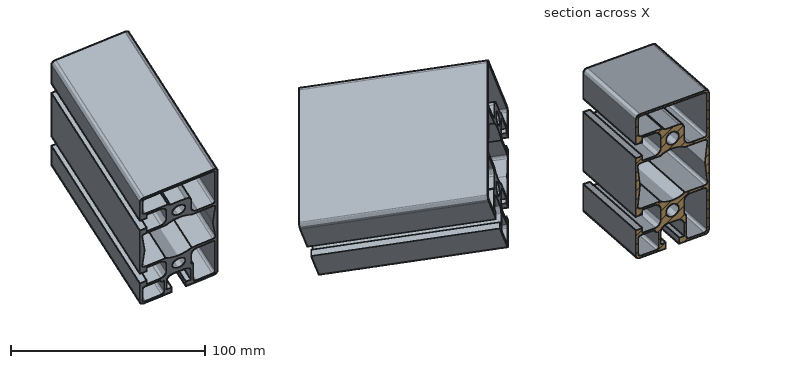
import cadquery as cq
import math

length = 100.0
width = 45.0
height = 90.0
corner_radius = 2.5

wall = 1.6
inner_radius = 1.5
half_width = width / 2
half_height = height / 2
inner_half_width = half_width - wall
inner_half_height = half_height - wall

core_z = height / 4
core_half = 7.3
core_radius = 3.5
slot_half = 7.0
slot_opening = 8.2
slot_corner = 3.2
slot_corner_bulge = 0.7
lip_thickness = 4.0
web_half = slot_half + 1.5
closed_web_half = 6.5
bore_diameter = 7.5

root_start = 4.9
root_end = 6.3
gusset_reach = 10.8
gusset_middle = 10.0

chamber_half_height = core_z - web_half
chamber_half_width = 21.3
chamber_waist = 19.7
bow_half_width = 7.5
bow_rise = 2.0


def section():
    return cq.Workplane(cq.Plane(origin=(-length / 2, 0, 0), xDir=(0, -1, 0), normal=(-1, 0, 0)))


def extrude_section(profile):
    return profile.extrude(-length)


def round_edges(body, points, radius):
    """Round the lengthwise edges that pass through the given section points."""
    tolerance = 0.01
    picks = cq.Workplane("XY")
    for u, v in points:
        box = cq.selectors.BoxSelector(
            (-tolerance, -u - tolerance, v - tolerance),
            (tolerance, -u + tolerance, v + tolerance),
        )
        picks = picks.add(body.edges("|X").edges(box).vals())
    return body.newObject([body.val().fillet(radius, picks.vals())])


def slot(center_z, turn=0):
    """T-slot opening toward -Y; a turn of 90 degrees makes it open toward -Z."""
    lip_inner = half_width - lip_thickness
    floor_half = slot_half - slot_corner
    wall_start = core_half + slot_corner
    bulge = slot_corner_bulge * math.sqrt(0.5)
    arc_u = core_half + slot_corner / 2 - bulge
    arc_v = slot_half - slot_corner / 2 + bulge
    chamber = extrude_section(
        section().moveTo(core_half, -floor_half)
        .lineTo(core_half, floor_half)
        .threePointArc((arc_u, arc_v), (wall_start, slot_half))
        .lineTo(lip_inner, slot_half)
        .lineTo(lip_inner, -slot_half)
        .lineTo(wall_start, -slot_half)
        .threePointArc((arc_u, -arc_v), (core_half, -floor_half))
        .close()
    )
    mouth = extrude_section(
        section().center(half_width - lip_thickness / 2, 0).rect(lip_thickness, slot_opening)
    )
    return chamber.union(mouth).rotate((0, 0, 0), (1, 0, 0), turn).translate((0, 0, center_z))


def upper_chamber():
    floor = core_z - closed_web_half
    shelf = core_z + web_half
    core_top = core_z + core_half
    outer_corners = [
        (-inner_half_width, floor),
        (-inner_half_width, inner_half_height),
        (inner_half_width, inner_half_height),
        (inner_half_width, shelf),
    ]
    core_corners = [(-core_half, core_top), (-core_half, floor)]
    root = [(root_end, shelf), (root_start, core_top)]
    body = extrude_section(section().polyline(outer_corners + root + core_corners).close())
    body = round_edges(body, outer_corners, inner_radius)
    return round_edges(body, core_corners, core_radius)


def lower_closed_chamber():
    roof = -core_z + closed_web_half
    outer_corners = [
        (-web_half, -inner_half_height),
        (-inner_half_width, -inner_half_height),
        (-inner_half_width, roof),
    ]
    core_corner = (-core_half, roof)
    root = [(-core_half, -core_z - root_start), (-web_half, -core_z - root_end)]
    body = extrude_section(section().polyline(outer_corners + [core_corner] + root).close())
    body = round_edges(body, outer_corners, inner_radius)
    return round_edges(body, [core_corner], core_radius)


def lower_corner_chamber():
    roof = -core_z - web_half
    outer_corners = [
        (inner_half_width, roof),
        (inner_half_width, -inner_half_height),
        (web_half, -inner_half_height),
    ]
    gusset_side = (web_half, -core_z - gusset_reach)
    gusset_top = (gusset_reach, roof)
    profile = (
        section().polyline([gusset_top] + outer_corners + [gusset_side])
        .threePointArc((gusset_middle, -core_z - gusset_middle), gusset_top)
        .close()
    )
    return round_edges(extrude_section(profile), outer_corners, inner_radius)


def central_chamber():
    top = chamber_half_height
    side = chamber_half_width
    profile = (
        section().moveTo(-side, top)
        .lineTo(-bow_half_width, top)
        .threePointArc((0, top + bow_rise), (bow_half_width, top))
        .lineTo(side, top)
        .lineTo(chamber_waist, 0)
        .lineTo(side, -top)
        .lineTo(bow_half_width, -top)
        .threePointArc((0, -top - bow_rise), (-bow_half_width, -top))
        .lineTo(-side, -top)
        .lineTo(-chamber_waist, 0)
        .close()
    )
    corners = [(u, v) for u in (-side, side) for v in (-top, top)]
    return round_edges(extrude_section(profile), corners, inner_radius)


def bottom_slot():
    return slot(-core_z, turn=90)


result = cq.Workplane("XY").box(length, width, height).edges("|X").fillet(corner_radius)

closed_chambers = [upper_chamber(), central_chamber(), lower_closed_chamber(), lower_corner_chamber()]
for cavity in closed_chambers + [bottom_slot()]:
    result = result.cut(cavity)

for bore_z in (core_z, -core_z):
    result = result.cut(slot(bore_z))
    result = result.cut(extrude_section(section().center(0, bore_z).circle(bore_diameter / 2)))